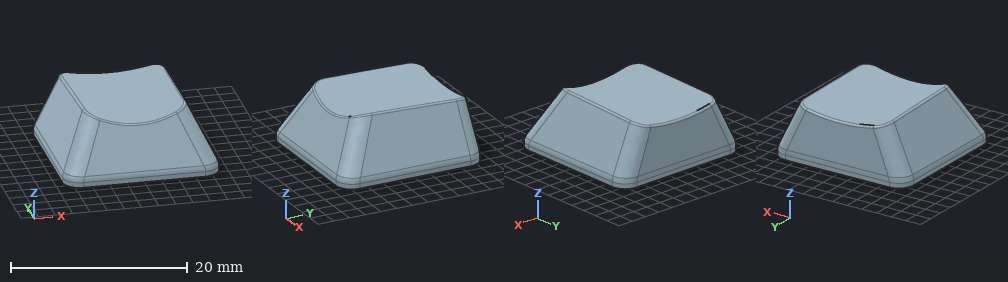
import cadquery as cq
import math

base_size = 18.16
half_base = base_size / 2
base_corner_radius = 2.0
skirt_height = 0.67
blend_height = 0.65
blend_sections = 5
blend_top = skirt_height + blend_height

body_top = 8.17
top_corner_radius = 1.78
side_slope = 0.48
front_slope = 0.53
back_slope = 0.08

dish_reach = 10.9
dish_half_width = 9.08
front_dish_floor = 6.03
front_dish_radius = 11.08
back_dish_floor = 6.37
back_dish_radius = 29.05
dish_clearance = 14.53
rim_radius = 0.27


def body_wire(z):
    """Rounded rectangle of the body's outside at height z."""
    if z < blend_top:
        rise = (z - skirt_height) ** 2 / (2 * blend_height)
    else:
        rise = z - skirt_height - blend_height / 2
    y_front = -half_base + front_slope * rise
    y_back = half_base - back_slope * rise
    top_rise = body_top - skirt_height - blend_height / 2
    radius = base_corner_radius + (top_corner_radius - base_corner_radius) * rise / top_rise
    width = base_size - 2 * side_slope * rise
    sharp = cq.Wire.makePolygon(
        [
            cq.Vector(-width / 2, y_front, z),
            cq.Vector(width / 2, y_front, z),
            cq.Vector(width / 2, y_back, z),
            cq.Vector(-width / 2, y_back, z),
        ],
        close=True,
    )
    return sharp.fillet2D(radius, sharp.Vertices())


def make_body():
    """Upright skirt, curved band and straight tapered sides, stacked."""
    base = body_wire(skirt_height)
    skirt = cq.Workplane("XY").add(base).toPending().extrude(-skirt_height)
    steps = [n / (blend_sections - 1) for n in range(blend_sections)]
    blend = cq.Solid.makeLoft([body_wire(skirt_height + blend_height * step) for step in steps])
    taper = cq.Solid.makeLoft([body_wire(blend_top), body_wire(body_top)], True)
    return skirt.union(cq.Workplane(obj=blend)).union(cq.Workplane(obj=taper))


def dish_section(y, floor, radius):
    """Closed section of the dish cutter: an arc below and straight sides above."""
    edge = floor + radius - math.sqrt(radius**2 - dish_half_width**2)
    return (
        cq.Workplane("XZ", origin=(0, y, 0))
        .moveTo(-dish_half_width, edge)
        .threePointArc((0, floor), (dish_half_width, edge))
        .lineTo(dish_half_width, dish_clearance)
        .lineTo(-dish_half_width, dish_clearance)
        .close()
        .val()
    )


def make_dish():
    sections = [
        dish_section(-dish_reach, front_dish_floor, front_dish_radius),
        dish_section(dish_reach, back_dish_floor, back_dish_radius),
    ]
    return cq.Solid.makeLoft(sections, True)


dished = make_body().cut(cq.Workplane(obj=make_dish()))

result = dished.faces(">Z").edges().fillet(rim_radius)